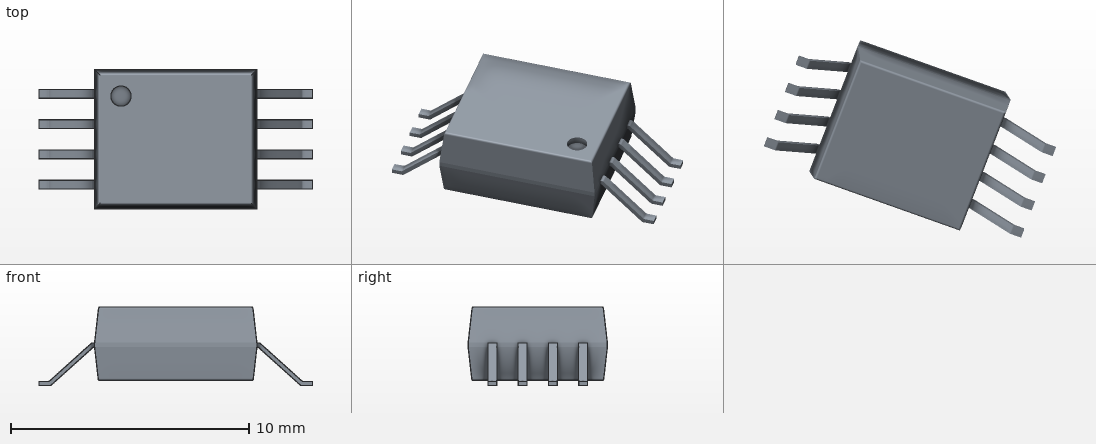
import cadquery as cq
import math

OVERALL_LENGTH = 11.5
OVERALL_HEIGHT = 3.31
STANDOFF = 0.21

HOUSING_LENGTH = 6.82
HOUSING_WIDTH = 5.85
BAND_BOTTOM = 1.61
BAND_TOP = 1.81
DRAFT_ANGLE = 6.5
RIM_FILLET = 0.09

MARK_DIAMETER = 0.85
MARK_DEPTH = 0.3
MARK_X = -2.3
MARK_Y = 1.81

LEADS_PER_SIDE = 4
LEAD_PITCH = 1.27
LEAD_WIDTH = 0.38
LEAD_THICKNESS = 0.18
LEAD_TOP = 1.8
LEAD_SLOPE = 42.0
STUB_LENGTH = 0.11
BEND_RADIUS = 0.1


def tapered_half(start_z, height):
    """Half of the housing, narrowing away from the parting band (height may be negative)."""
    direction = math.copysign(1, height)
    plane = cq.Plane(origin=(0, 0, start_z), xDir=(1, 0, 0), normal=(0, 0, direction))
    half = cq.Workplane(plane).rect(HOUSING_LENGTH, HOUSING_WIDTH).extrude(abs(height), taper=DRAFT_ANGLE)
    rim = ">Z" if height > 0 else "<Z"
    return half.faces(rim).edges().fillet(RIM_FILLET)


def make_housing():
    band = (
        cq.Workplane("XY", origin=(0, 0, BAND_BOTTOM))
        .rect(HOUSING_LENGTH, HOUSING_WIDTH)
        .extrude(BAND_TOP - BAND_BOTTOM)
    )
    upper = tapered_half(BAND_TOP, OVERALL_HEIGHT - BAND_TOP)
    lower = tapered_half(BAND_BOTTOM, STANDOFF - BAND_BOTTOM)
    mark = (
        cq.Workplane("XY", origin=(MARK_X, MARK_Y, OVERALL_HEIGHT - MARK_DEPTH))
        .circle(MARK_DIAMETER / 2)
        .extrude(MARK_DEPTH)
    )
    return band.union(upper).union(lower).cut(mark).solids()


def make_lead(y_center, housing):
    """Lead on the +X side, centred on y_center and trimmed flush with the housing side."""
    tip_x = OVERALL_LENGTH / 2
    root_x = HOUSING_LENGTH / 2 - STUB_LENGTH
    slope = math.radians(LEAD_SLOPE)
    corner_shift = LEAD_THICKNESS * math.tan(slope / 2)
    stub_bend_x = HOUSING_LENGTH / 2 + STUB_LENGTH
    foot_bend_x = stub_bend_x + (LEAD_TOP - LEAD_THICKNESS) / math.tan(slope)
    lead = (
        cq.Workplane("XZ", origin=(0, y_center, 0))
        .moveTo(root_x, LEAD_TOP)
        .lineTo(stub_bend_x, LEAD_TOP)
        .lineTo(foot_bend_x, LEAD_THICKNESS)
        .lineTo(tip_x, LEAD_THICKNESS)
        .lineTo(tip_x, 0)
        .lineTo(foot_bend_x - corner_shift, 0)
        .lineTo(stub_bend_x - corner_shift, LEAD_TOP - LEAD_THICKNESS)
        .lineTo(root_x, LEAD_TOP - LEAD_THICKNESS)
        .close()
        .extrude(LEAD_WIDTH / 2, both=True)
    )
    bend_corners = lead.edges("|Y and (not <X) and (not >X)")
    return bend_corners.fillet(BEND_RADIUS).cut(housing).solids()


housing = make_housing()

leads = []
for index in range(LEADS_PER_SIDE):
    y_center = (index - (LEADS_PER_SIDE - 1) / 2) * LEAD_PITCH
    lead = make_lead(y_center, housing)
    leads.append(lead.val())
    leads.append(lead.mirror("YZ").val())

result = cq.Compound.makeCompound([housing.val(), *leads])